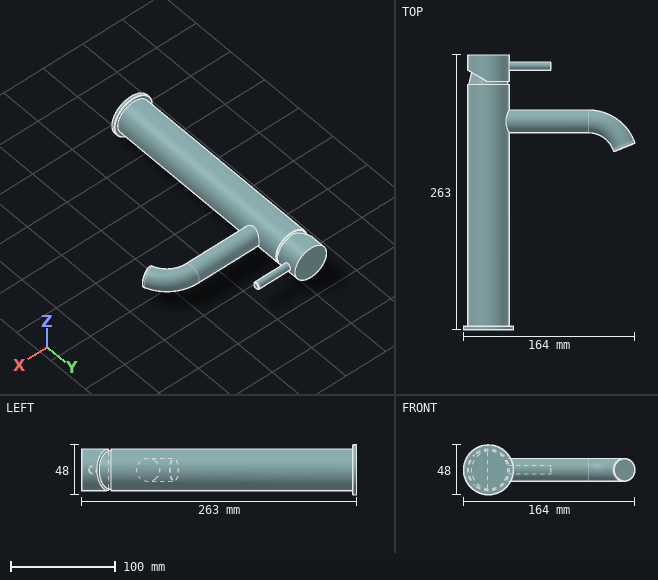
import cadquery as cq
import math

TOTAL_HEIGHT = 263.0

FLANGE_DIAMETER = 48.0
FLANGE_THICKNESS = 4.0
FLANGE_CHAMFER = 0.5
COLUMN_DIAMETER = 40.0
COLUMN_TOP = 234.9

NECK_BASE_DIAMETER = 38.0
NECK_HALF_ANGLE = 14.0

SPOUT_DIAMETER = 22.0
SPOUT_HEIGHT = 199.4
BEND_START_X = 95.7
BEND_RADIUS = 36.0
BEND_ANGLE = 68.0
SPOUT_TIP_LENGTH = 2.5
SPOUT_TIP_CHAMFER = 0.5

HANDLE_GAP = 2.5
CAP_BOTTOM = COLUMN_TOP + HANDLE_GAP
BEVEL_START_X = -1.0
BEVEL_ANGLE = 30.0
LEVER_DIAMETER = 8.2
LEVER_HEIGHT = 252.2
LEVER_END_X = 60.0
LEVER_CHAMFER = 0.8

COLUMN_RADIUS = COLUMN_DIAMETER / 2
BEVEL_SLOPE = math.tan(math.radians(BEVEL_ANGLE))
BEVEL_RISE = (BEVEL_START_X + COLUMN_RADIUS) * BEVEL_SLOPE


def upright_cylinder(diameter, bottom, top):
    """Cylinder on the column axis between two heights along Y."""
    return cq.Workplane("XZ", origin=(0, bottom, 0)).circle(diameter / 2).extrude(bottom - top)


def make_lever():
    """Round rod from the cap axis toward +X with a chamfered end."""
    lever = (
        cq.Workplane("YZ", origin=(0, LEVER_HEIGHT, 0))
        .circle(LEVER_DIAMETER / 2)
        .extrude(LEVER_END_X)
    )
    return lever.faces(">X").chamfer(LEVER_CHAMFER)


def make_handle():
    """Cap with a slanted underside on the -X side, and a lever on the +X side."""
    cap = upright_cylinder(COLUMN_DIAMETER, CAP_BOTTOM, TOTAL_HEIGHT)
    bevel = (
        cq.Workplane("XY")
        .moveTo(BEVEL_START_X, CAP_BOTTOM)
        .lineTo(-COLUMN_RADIUS, CAP_BOTTOM + BEVEL_RISE)
        .lineTo(-COLUMN_RADIUS, CAP_BOTTOM)
        .close()
        .extrude(COLUMN_RADIUS, both=True)
    )
    return cap.cut(bevel).union(make_lever())


def make_neck(handle):
    """Cone on top of the column, trimmed to meet the underside of the handle."""
    base_radius = NECK_BASE_DIAMETER / 2
    height = HANDLE_GAP + BEVEL_RISE
    top_radius = base_radius - height * math.tan(math.radians(NECK_HALF_ANGLE))
    cone = (
        cq.Workplane("XY")
        .moveTo(0, COLUMN_TOP)
        .lineTo(base_radius, COLUMN_TOP)
        .lineTo(top_radius, COLUMN_TOP + height)
        .lineTo(0, COLUMN_TOP + height)
        .close()
        .revolve(360, (0, 0, 0), (0, 1, 0))
    )
    return cone.cut(handle)


def make_spout():
    """Straight pipe, downward bend and short straight tip with a chamfered end."""
    pipe = (
        cq.Workplane("YZ", origin=(0, SPOUT_HEIGHT, 0))
        .circle(SPOUT_DIAMETER / 2)
        .extrude(BEND_START_X)
    )
    bend = (
        cq.Workplane("YZ", origin=(BEND_START_X, SPOUT_HEIGHT, 0))
        .circle(SPOUT_DIAMETER / 2)
        .revolve(BEND_ANGLE, (-BEND_RADIUS, 0, 0), (-BEND_RADIUS, -1, 0))
    )
    angle = math.radians(BEND_ANGLE)
    bend_end = (
        BEND_START_X + BEND_RADIUS * math.sin(angle),
        SPOUT_HEIGHT - BEND_RADIUS * (1 - math.cos(angle)),
        0,
    )
    flow_direction = (math.cos(angle), -math.sin(angle), 0)
    tip_plane = cq.Plane(origin=bend_end, xDir=(0, 0, 1), normal=flow_direction)
    tip = (
        cq.Workplane(tip_plane)
        .circle(SPOUT_DIAMETER / 2)
        .extrude(SPOUT_TIP_LENGTH)
        .faces(cq.selectors.DirectionMinMaxSelector(cq.Vector(*flow_direction)))
        .chamfer(SPOUT_TIP_CHAMFER)
    )
    return pipe.union(bend).union(tip)


def make_faucet_body(handle):
    """Flange, column, neck and spout as one solid."""
    flange = upright_cylinder(FLANGE_DIAMETER, 0, FLANGE_THICKNESS).faces(">Y").chamfer(FLANGE_CHAMFER)
    column = upright_cylinder(COLUMN_DIAMETER, 0, COLUMN_TOP)
    return flange.union(column).union(make_neck(handle)).union(make_spout())


handle = make_handle()
faucet_body = make_faucet_body(handle)

result = cq.Compound.makeCompound([faucet_body.val(), handle.val()])